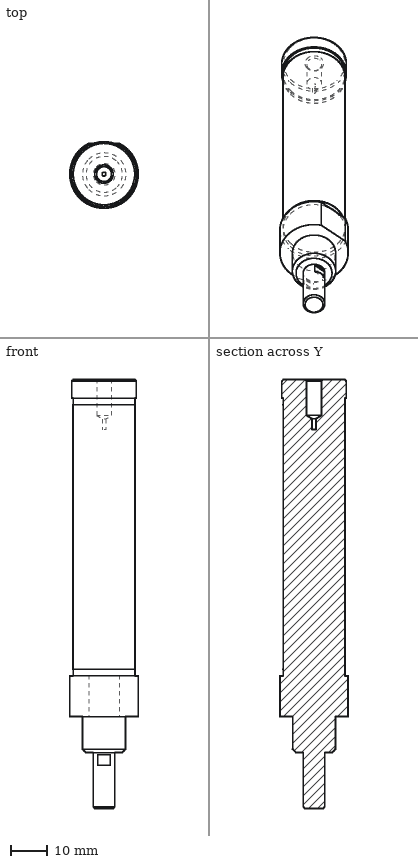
import cadquery as cq
import math

total_height = 119.0
nose_bottom = 15.5
collar_bottom = 25.5
collar_top = 36.8
groove_width = 1.8
cap_height = 5.2
cap_bottom = total_height - cap_height

rod_diameter = 6.0
nose_diameter = 12.0
collar_diameter = 19.0
groove_diameter = 17.2
body_diameter = 17.3
cap_diameter = 18.0

rod_chamfer = 0.5
nose_chamfer = 1.0
cap_chamfer = 0.5

collar_flat_y = 8.5

flat_spacing = 4.9
flat_height = 3.0
flat_top = 15.0

port_diameter = 4.13
port_mouth_diameter = 5.1
port_depth = 10.0
port_tip_angle = 118.0
orifice_diameter = 1.1
orifice_depth = 3.0


def cylinder(diameter, bottom, top):
    return cq.Workplane("XY").workplane(offset=bottom).circle(diameter / 2).extrude(top - bottom)


def make_rod():
    rod = cylinder(rod_diameter, 0, nose_bottom).faces("<Z").chamfer(rod_chamfer)
    flat_depth = (rod_diameter - flat_spacing) / 2
    flat_center_y = (flat_spacing + flat_depth) / 2
    for side in (-1, 1):
        cutter = cq.Workplane("XY").box(rod_diameter, flat_depth, flat_height)
        rod = rod.cut(cutter.translate((0, side * flat_center_y, flat_top - flat_height / 2)))
    return rod


def make_nose():
    return cylinder(nose_diameter, nose_bottom, collar_bottom).faces("<Z").chamfer(nose_chamfer)


def make_collar():
    collar = cylinder(collar_diameter, collar_bottom, collar_top)
    trim = (
        cq.Workplane("XY")
        .box(collar_diameter, collar_diameter, collar_top - collar_bottom, centered=(True, False, False))
        .translate((0, collar_flat_y, collar_bottom))
    )
    return collar.cut(trim)


def make_body():
    core = cylinder(groove_diameter, collar_top, cap_bottom)
    tube = cylinder(body_diameter, collar_top + groove_width, cap_bottom - groove_width)
    return core.union(tube)


def make_cap():
    return cylinder(cap_diameter, cap_bottom, total_height).faces(">Z").chamfer(cap_chamfer)


def make_port():
    """Drilled port with a chamfered mouth, a conical bottom and a small orifice below it."""
    port_radius = port_diameter / 2
    mouth_radius = port_mouth_diameter / 2
    orifice_radius = orifice_diameter / 2
    mouth_bottom = total_height - (mouth_radius - port_radius)
    port_bottom = total_height - port_depth
    cone_bottom = port_bottom - (port_radius - orifice_radius) / math.tan(math.radians(port_tip_angle / 2))
    orifice_bottom = cone_bottom - orifice_depth
    return (
        cq.Workplane("XZ")
        .moveTo(0, total_height)
        .lineTo(mouth_radius, total_height)
        .lineTo(port_radius, mouth_bottom)
        .lineTo(port_radius, port_bottom)
        .lineTo(orifice_radius, cone_bottom)
        .lineTo(orifice_radius, orifice_bottom)
        .lineTo(0, orifice_bottom)
        .close()
        .revolve(360, (0, 0, 0), (0, 1, 0))
    )


outer_shape = make_rod().union(make_nose()).union(make_collar()).union(make_body()).union(make_cap())
result = outer_shape.cut(make_port())